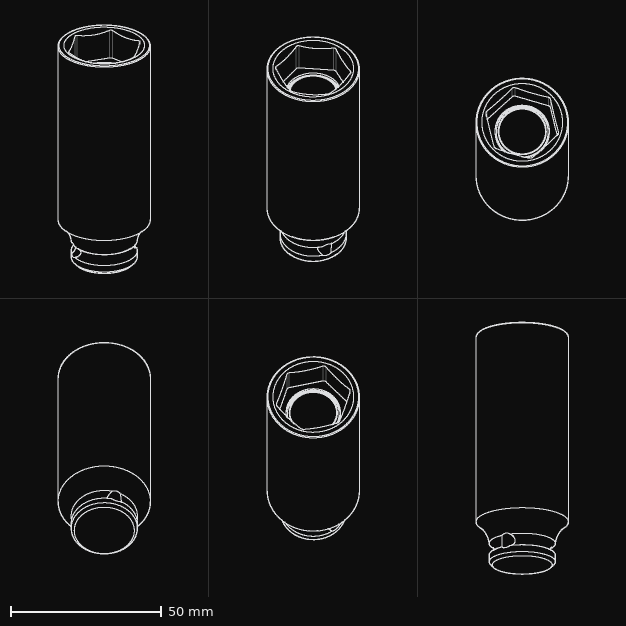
import cadquery as cq
import math

height = 80.0
body_radius = 15.4
rim_chamfer = 0.3

collar_radius = 11.0
drive_chamfer_radial = 1.0
drive_chamfer_height = 1.1
groove_z = 5.5
groove_half_width = 2.0
groove_depth = 1.6
neck_top_z = 15.0
neck_radius = 10.4
pin_hole_diameter = 5.0

hex_across_flats = 22.0
hex_corner_radius = 1.0
hex_depth = 10.9
lead_in_radius = 13.4
lead_in_angle = 30.0

seat_radius = 9.0
seat_depth = 12.8
sleeve_wall = 0.4
sleeve_drop = 1.0
sleeve_slope = 0.2
holder_drop = 0.2
holder_chamfer = 0.6
magnet_radius = 7.8
magnet_length = 9.6

hex_floor_z = height - hex_depth
seat_floor_z = hex_floor_z - seat_depth
holder_radius = seat_radius - sleeve_wall
holder_top_z = hex_floor_z - holder_drop
magnet_bottom_z = holder_top_z - magnet_length


def cylinder(radius, bottom_z, length):
    """Upright cylinder on the Z axis."""
    return cq.Workplane("XY").workplane(offset=bottom_z).circle(radius).extrude(length)


def make_blank():
    """Turned outside of the socket."""
    groove_bottom_z = groove_z - groove_half_width
    groove_top_z = groove_z + groove_half_width
    profile = (
        cq.Workplane("XZ")
        .moveTo(0, 0)
        .lineTo(collar_radius - drive_chamfer_radial, 0)
        .lineTo(collar_radius, drive_chamfer_height)
        .lineTo(collar_radius, groove_bottom_z)
        .threePointArc((collar_radius - groove_depth, groove_z), (collar_radius, groove_top_z))
        .radiusArc((body_radius, neck_top_z), neck_radius)
        .lineTo(body_radius, height - rim_chamfer)
        .lineTo(body_radius - rim_chamfer, height)
        .lineTo(0, height)
        .close()
    )
    return profile.revolve(360, (0, 0, 0), (0, 1, 0))


def make_hex_opening():
    """Hex pocket with rounded corners, two of its corners lying on the Y axis."""
    across_corners = hex_across_flats / math.cos(math.pi / 6)
    quarter_turn = (0, 0, 90)
    return (
        cq.Workplane("XY", origin=(0, 0, hex_floor_z))
        .transformed(rotate=quarter_turn)
        .polygon(6, across_corners)
        .extrude(hex_depth)
        .edges("|Z")
        .fillet(hex_corner_radius)
    )


def make_lead_in():
    """Cone that eases the fastener into the hex."""
    cone_height = lead_in_radius * math.tan(math.radians(lead_in_angle))
    opening_centre = cq.Vector(0, 0, height)
    downward = cq.Vector(0, 0, -1)
    return cq.Workplane(cq.Solid.makeCone(lead_in_radius, 0, cone_height, opening_centre, downward))


def make_magnet_seat():
    """Blind bore in the hex floor."""
    return cylinder(seat_radius, seat_floor_z, seat_depth)


def make_pin_hole():
    """Cross hole along Y, centred on the groove."""
    return (
        cq.Workplane("XZ", origin=(0, 0, groove_z))
        .circle(pin_hole_diameter / 2)
        .extrude(body_radius, both=True)
    )


def make_socket():
    """Impact socket with its hex opening, magnet seat and pin hole."""
    socket = make_blank().cut(make_hex_opening()).cut(make_lead_in())
    return socket.cut(make_magnet_seat()).cut(make_pin_hole())


def make_sleeve():
    """Thin tube around the holder; its top slopes down towards the holder."""
    outer_top_z = hex_floor_z - sleeve_drop
    return (
        cq.Workplane("XZ")
        .moveTo(holder_radius, seat_floor_z)
        .lineTo(seat_radius, seat_floor_z)
        .lineTo(seat_radius, outer_top_z)
        .lineTo(holder_radius, outer_top_z - sleeve_slope)
        .close()
        .revolve(360, (0, 0, 0), (0, 1, 0))
    )


def make_holder():
    """Cup with a chamfered rim and a blind bore for the magnet."""
    cup = cylinder(holder_radius, seat_floor_z, holder_top_z - seat_floor_z)
    cup = cup.faces(">Z").edges().chamfer(holder_chamfer)
    return cup.cut(cylinder(magnet_radius, magnet_bottom_z, magnet_length))


def make_magnet():
    """Round magnet filling the holder, flush with its rim."""
    return cylinder(magnet_radius, magnet_bottom_z, magnet_length)


socket = make_socket()
sleeve = make_sleeve()
holder = make_holder()
magnet = make_magnet()

result = cq.Compound.makeCompound([socket.val(), sleeve.val(), holder.val(), magnet.val()])